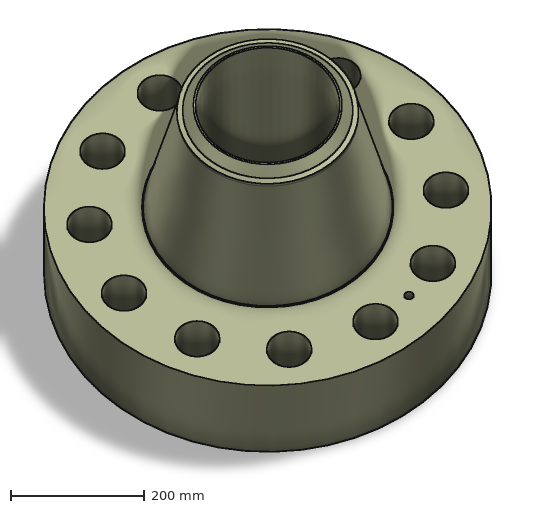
import cadquery as cq
import math

flange_diameter = 673.0
flange_thickness = 165.0
raised_face_diameter = 324.0
raised_face_height = 7.0
flange_top = raised_face_height + flange_thickness

total_height = 425.0
bore_diameter = 217.0
hub_base_diameter = 378.0
hub_taper_diameter = 375.0
hub_base_height = 1.7
weld_end_diameter = 273.0
weld_end_bottom = 404.5
weld_end_top = 410.0
bevel_diameter = 256.0
bevel_bottom = 412.0
land_diameter = 223.5

bolt_count = 12
bolt_circle_diameter = 540.0
bolt_hole_diameter = 67.0
small_hole_diameter = 14.0
small_hole_depth = 33.5
small_hole_tip_depth = 4.0


def flange_body():
    """Revolve the half section of the disc, raised face, hub and bore about Z."""
    section = [
        (bore_diameter / 2, 0),
        (raised_face_diameter / 2, 0),
        (raised_face_diameter / 2, raised_face_height),
        (flange_diameter / 2, raised_face_height),
        (flange_diameter / 2, flange_top),
        (hub_base_diameter / 2, flange_top),
        (hub_taper_diameter / 2, flange_top + hub_base_height),
        (weld_end_diameter / 2, weld_end_bottom),
        (weld_end_diameter / 2, weld_end_top),
        (bevel_diameter / 2, bevel_bottom),
        (land_diameter / 2, total_height),
        (bore_diameter / 2, total_height),
    ]
    return cq.Workplane("XZ").polyline(section).close().revolve(360, (0, 0), (0, 1))


def bolt_holes():
    """Cylinders through the disc, evenly spaced with the first one on +X."""
    return (
        cq.Workplane("XY")
        .polarArray(bolt_circle_diameter / 2, 0, 360, bolt_count)
        .circle(bolt_hole_diameter / 2)
        .extrude(flange_top)
    )


def small_hole():
    """Drilled blind hole with a pointed bottom, on the bolt circle midway between two bolt holes."""
    angle = math.radians(360 / bolt_count / 2)
    pitch_radius = bolt_circle_diameter / 2
    hole_radius = small_hole_diameter / 2
    section = [
        (0, 0),
        (hole_radius, 0),
        (hole_radius, -small_hole_depth),
        (0, -small_hole_depth - small_hole_tip_depth),
    ]
    drilled = cq.Workplane("XZ").polyline(section).close().revolve(360, (0, 0), (0, 1))
    return drilled.translate((pitch_radius * math.cos(angle), pitch_radius * math.sin(angle), flange_top))


result = flange_body().cut(bolt_holes()).cut(small_hole())